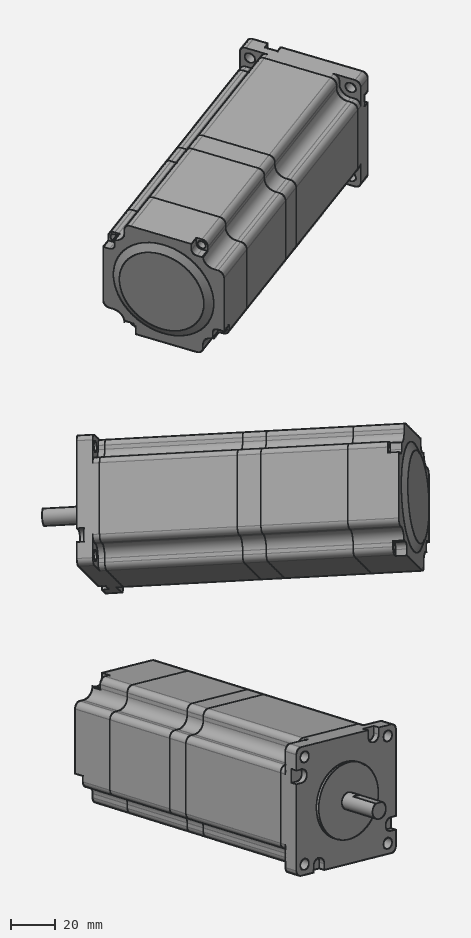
import cadquery as cq
import math


frame_width = 60.0
half_width = frame_width / 2
flange_corner_radius = 3.0
mount_hole_inset = 5.0
mount_hole_diameter = 5.2
scallop_radius = 5.5
lip_radius = 3.1
scallop_depth = mount_hole_inset + scallop_radius
scallop_reach = scallop_depth + lip_radius

mount_plate_thickness = 7.4
flange_depth = 10.5
front_stack_depth = 73.8
spacer_depth = 84.6
rear_stack_depth = 124.5
rear_face_depth = 148.0

shaft_diameter = 8.0
shaft_length = 22.0
shaft_flat_length = 15.0
shaft_flat_depth = 0.5
pilot_diameter = 36.0
pilot_height = 1.5

boss_diameter = 49.9
boss_tip_diameter = 42.0
boss_height = 2.0

screw_inset = 3.1
screw_offset = scallop_reach
screw_hole_diameter = 4.0
rear_pocket_radius = 2.5
rear_pocket_depth = 5.2
front_notch_diameter = 6.4
front_notch_depth = 3.3

QUARTER_TURNS = (0, 90, 180, 270)


def plane_at(depth):
    """Cross-section plane at a depth behind the mounting face, facing -Y."""
    return cq.Workplane("XZ").workplane(offset=depth)


def around_axis(solid):
    """Four copies of a solid, a quarter turn apart about the shaft axis."""
    copies = cq.Workplane("XZ")
    for angle in QUARTER_TURNS:
        copies = copies.add(solid.rotate((0, 0, 0), (0, 1, 0), angle).vals())
    return copies


def cut_all(body, tools):
    """Cut every solid held by a workplane from the body."""
    for tool in tools.vals():
        body = body.cut(cq.Workplane(tool))
    return body


def scalloped_section(start_depth, end_depth):
    """Length of frame whose four corners are scooped out around the mounting holes."""
    face = half_width
    wall = half_width - scallop_depth
    edge = half_width - scallop_reach
    lip = half_width - lip_radius
    axis = half_width - mount_hole_inset
    lip_bulge = lip_radius * math.sqrt(0.5)
    scallop_bulge = axis - scallop_radius * math.sqrt(0.5)

    outline = plane_at(start_depth).moveTo(face, -edge)
    for angle in QUARTER_TURNS:
        cos_a = round(math.cos(math.radians(angle)))
        sin_a = round(math.sin(math.radians(angle)))

        def turned(x, z):
            return (x * cos_a - z * sin_a, x * sin_a + z * cos_a)

        outline = (
            outline.lineTo(*turned(face, edge))
            .threePointArc(turned(lip + lip_bulge, edge + lip_bulge), turned(lip, wall))
            .lineTo(*turned(axis, wall))
            .threePointArc(turned(scallop_bulge, scallop_bulge), turned(wall, axis))
            .lineTo(*turned(wall, lip))
            .threePointArc(turned(edge + lip_bulge, lip + lip_bulge), turned(edge, face))
        )
    return outline.close().extrude(end_depth - start_depth)


def shaft_and_pilot():
    """Round pilot and output shaft, the shaft flattened on its +Z side at the tip."""
    pilot = plane_at(0).circle(pilot_diameter / 2).extrude(-pilot_height)
    shaft = plane_at(0).circle(shaft_diameter / 2).extrude(-shaft_length)
    flat = cq.Workplane("XY").box(
        shaft_diameter, shaft_flat_length, shaft_flat_depth, centered=(True, False, False)
    ).translate((0, shaft_length - shaft_flat_length, shaft_diameter / 2 - shaft_flat_depth))
    return pilot.union(shaft.cut(flat))


def front_notches():
    """Round-bottomed screw notches in the mounting face, open to the side faces."""
    notch_x = screw_offset - half_width
    axis_z = half_width - screw_inset
    bottom = plane_at(0).center(notch_x, axis_z).circle(front_notch_diameter / 2)
    bottom = bottom.extrude(front_notch_depth)
    mouth = (
        plane_at(0)
        .center(notch_x, axis_z + screw_inset / 2)
        .rect(front_notch_diameter, screw_inset)
        .extrude(front_notch_depth)
    )
    return around_axis(bottom.union(mouth))


def make_front_flange():
    """Square mounting plate with the scalloped rear step, pilot and shaft."""
    plate = plane_at(0).rect(frame_width, frame_width).extrude(mount_plate_thickness)
    plate = plate.edges("|Y").fillet(flange_corner_radius)
    hole_pitch = frame_width - 2 * mount_hole_inset
    holes = (
        plane_at(0)
        .rect(hole_pitch, hole_pitch, forConstruction=True)
        .vertices()
        .circle(mount_hole_diameter / 2)
        .extrude(mount_plate_thickness)
    )
    plate = cut_all(plate.cut(holes), front_notches())
    step = scalloped_section(mount_plate_thickness, flange_depth)
    return plate.union(step).union(shaft_and_pilot())


def rear_screw_pockets():
    """Pockets beside the scallops, one inner corner rounded about the screw axis."""
    screw_x = half_width - screw_offset
    screw_z = half_width - screw_inset
    left = screw_x - rear_pocket_radius
    floor = screw_z - rear_pocket_radius
    right = half_width - scallop_depth
    bulge = rear_pocket_radius * math.sqrt(0.5)
    pocket = (
        plane_at(rear_face_depth)
        .moveTo(left, half_width)
        .lineTo(left, screw_z)
        .threePointArc((screw_x - bulge, screw_z - bulge), (screw_x, floor))
        .lineTo(right, floor)
        .lineTo(right, half_width)
        .close()
        .extrude(-rear_pocket_depth)
    )
    return around_axis(pocket)


def rear_screw_holes():
    """Screw holes running the full length of the rear cover."""
    hole = (
        plane_at(rear_stack_depth)
        .center(half_width - screw_offset, half_width - screw_inset)
        .circle(screw_hole_diameter / 2)
        .extrude(rear_face_depth - rear_stack_depth)
    )
    return around_axis(hole)


def make_rear_cover():
    """Rear end of the frame with a conical boss, screw pockets and screw holes."""
    cover = scalloped_section(rear_stack_depth, rear_face_depth)
    boss = (
        plane_at(rear_face_depth)
        .circle(boss_diameter / 2)
        .workplane(offset=boss_height)
        .circle(boss_tip_diameter / 2)
        .loft()
    )
    cover = cut_all(cover.union(boss), rear_screw_pockets())
    return cut_all(cover, rear_screw_holes())


front_flange = make_front_flange()
front_stack = scalloped_section(flange_depth, front_stack_depth)
spacer = scalloped_section(front_stack_depth, spacer_depth)
rear_stack = scalloped_section(spacer_depth, rear_stack_depth)
rear_cover = make_rear_cover()

result = cq.Compound.makeCompound([
    front_flange.val(),
    front_stack.val(),
    spacer.val(),
    rear_stack.val(),
    rear_cover.val(),
])